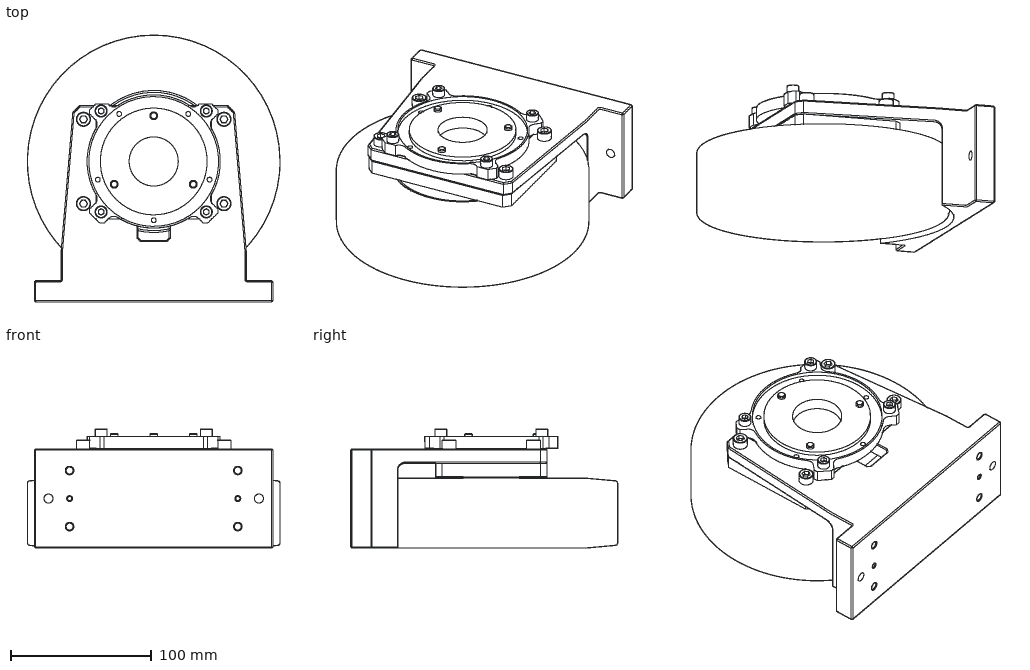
import cadquery as cq
import math


overall_length = 190.0

wheel_diameter = 180.0
wheel_radius = wheel_diameter / 2
wheel_height = 50.0
wheel_flat_radius = 66.7
wheel_side_slope = 2.0
rim_fillet = 1.9
wheel_clearance = 3.2
seal_groove_radius = 50.5
seal_groove_width = 1.3
seal_groove_depth = 1.9

bracket_height = 70.7
base_half_width = 85.0
base_back = wheel_radius - overall_length
base_thickness = 15.2
base_front = base_back + base_thickness
arm_root_half_width = 66.0
arm_taper_start = -64.6
arm_tip_half_width = 57.5
arm_tip = 39.7
arm_tip_bevel = 4.7
arm_thickness = 10.3
arm_bottom = bracket_height - arm_thickness
arm_root_fillet = 4.5
edge_bevel = 1.0
inner_corner_fillet = 1.0

window_half_width = 11.0
window_front = -arm_tip
window_back = -56.2
window_corner = 1.9
window_bevel = 0.8

spacer_half_width = 57.0
spacer_gap = 0.8
hub_diameter = 40.0

base_hole_center_z = 35.3
bolt_half_spacing_x = 59.8
bolt_half_spacing_z = 20.0
bolt_hole_diameter = 5.0
bolt_mouth_diameter = 6.0
bolt_hole_depth = 17.1
pin_hole_diameter = 3.0
pin_mouth_diameter = 4.2
pin_hole_depth = 9.5
dowel_half_spacing = 74.9
dowel_diameter = 6.5

pad_half_width = 41.0
pad_height = 0.4
flange_bottom = bracket_height + pad_height
flange_top = 79.6
flange_diameter = 94.8
flange_radius = flange_diameter / 2
lip_inner_radius = 46.2
recess_depth = 3.0
recess_floor = flange_top - recess_depth
disc_radius = 38.0
disc_top = flange_top
bore_diameter = 35.0
flange_hole_count = 5
flange_hole_circle_radius = 41.8
flange_hole_diameter = 3.5
flange_hole_depth = 4.7
flange_pin_count = 3
flange_pin_circle_radius = 32.5
flange_pin_diameter = 5.5
flange_pin_top = 81.7
flange_pin_bevel = 0.66

lug_tip_x = 45.6
lug_tip_y = 43.9
lug_corner_sum = 82.3
lug_outer_side = 11.8
lug_inner_side = -8.5
lug_fillet = 5.0
lug_trim_start = 28.5

flange_screw_x = 37.5
flange_screw_y = 36.0
flange_screw_top = 85.0
flange_screw_head = 8.5
flange_screw_socket = 4.5
arm_screw_x = 50.0
arm_screw_y = 30.0
arm_screw_top = 77.0
arm_screw_head = 10.0
arm_screw_socket = 5.7
socket_depth = 2.8
screw_bevel = 0.4

DRILL_HALF_ANGLE = math.radians(59)


def cylinder(radius, bottom, top):
    return cq.Workplane("XY").workplane(offset=bottom).circle(radius).extrude(top - bottom)


def box_between(x0, x1, y0, y1, z0, z1):
    center = ((x0 + x1) / 2, (y0 + y1) / 2, (z0 + z1) / 2)
    return cq.Workplane("XY").box(x1 - x0, y1 - y0, z1 - z0).translate(center)


def four_corners(x, y):
    return [(sx * x, sy * y) for sx in (-1, 1) for sy in (-1, 1)]


def make_wheel():
    rim_top = wheel_height - wheel_side_slope
    wheel = (
        cq.Workplane("XZ")
        .moveTo(0, 0)
        .lineTo(wheel_flat_radius, 0)
        .lineTo(wheel_radius, wheel_side_slope)
        .lineTo(wheel_radius, rim_top)
        .lineTo(wheel_flat_radius, wheel_height)
        .lineTo(0, wheel_height)
        .close()
        .revolve(360, (0, 0, 0), (0, 1, 0))
    )
    at_rim = cq.selectors.RadiusNthSelector(-1)
    wheel = wheel.edges("%CIRCLE").edges(at_rim).fillet(rim_fillet)
    groove = (
        cq.Workplane("XY")
        .workplane(offset=wheel_height - seal_groove_depth)
        .circle(seal_groove_radius)
        .circle(seal_groove_radius - seal_groove_width)
        .extrude(seal_groove_depth)
    )
    return wheel.cut(groove)


def make_bracket():
    right_side = [
        (base_half_width, base_back),
        (base_half_width, base_front),
        (arm_root_half_width, base_front),
        (arm_root_half_width, arm_taper_start),
        (arm_tip_half_width, arm_tip - arm_tip_bevel),
        (arm_tip_half_width - arm_tip_bevel, arm_tip),
    ]
    left_side = [(-x, y) for x, y in reversed(right_side)]
    bracket = cq.Workplane("XY").polyline(right_side + left_side).close().extrude(bracket_height)

    def upright_edges(x, y):
        near = 0.2
        picked = bracket.edges("|Z").filter(
            lambda e: abs(abs(e.Center().x) - x) < near and abs(e.Center().y - y) < near
        )
        return picked

    bracket = upright_edges(arm_root_half_width, base_front).fillet(inner_corner_fillet)
    bracket = upright_edges(base_half_width, base_front).chamfer(edge_bevel)
    bracket = upright_edges(base_half_width, base_back).chamfer(edge_bevel)
    bracket = bracket.faces("<Z or >Z").edges().chamfer(edge_bevel)

    wheel_space = cylinder(wheel_radius + wheel_clearance, -wheel_clearance, arm_bottom)
    wheel_space = wheel_space.faces(">Z").edges().fillet(arm_root_fillet)
    bracket = bracket.cut(wheel_space)

    arm_lower_edges = bracket.edges("%LINE").filter(
        lambda e: abs(e.BoundingBox().zmax - arm_bottom) < 0.02
        and abs(e.BoundingBox().zmin - arm_bottom) < 0.02
    )
    bracket = arm_lower_edges.chamfer(edge_bevel)

    window = box_between(
        -window_half_width, window_half_width, window_back, window_front, arm_bottom, bracket_height
    )
    window = window.edges("|Z and <Y").chamfer(window_corner)
    bracket = bracket.cut(window)
    window_mouth = bracket.faces(">Z").wires(cq.selectors.LengthNthSelector(0))
    return window_mouth.chamfer(window_bevel)


def make_spacer():
    spacer = box_between(
        -spacer_half_width, spacer_half_width, -arm_tip, arm_tip,
        wheel_height + spacer_gap, arm_bottom,
    )
    spacer = spacer.edges("|Z").chamfer(arm_tip_bevel)
    hub = cylinder(hub_diameter / 2, wheel_height, wheel_height + spacer_gap)
    return spacer.union(hub)


def drill(radius, mouth_radius, depth):
    """Drill shape along +Y from the mounting face, with a countersunk mouth and a conical tip."""
    mouth_depth = mouth_radius - radius
    tip_depth = radius / math.tan(DRILL_HALF_ANGLE)
    return (
        cq.Workplane("XY")
        .polyline([
            (0, 0),
            (mouth_radius, 0),
            (radius, mouth_depth),
            (radius, depth),
            (0, depth + tip_depth),
        ])
        .close()
        .revolve(360, (0, 0, 0), (0, 1, 0))
        .translate((0, base_back, base_hole_center_z))
    )


def make_base_holes():
    bolt_hole = drill(bolt_hole_diameter / 2, bolt_mouth_diameter / 2, bolt_hole_depth)
    pin_hole = drill(pin_hole_diameter / 2, pin_mouth_diameter / 2, pin_hole_depth)
    holes = cq.Workplane("XY")
    for x, z in four_corners(bolt_half_spacing_x, bolt_half_spacing_z):
        holes = holes.add(bolt_hole.translate((x, 0, z)))
    for side in (-1, 1):
        holes = holes.add(pin_hole.translate((side * bolt_half_spacing_x, 0, 0)))
        dowel_hole = (
            cq.Workplane("XZ", origin=(side * dowel_half_spacing, base_back, base_hole_center_z))
            .circle(dowel_diameter / 2)
            .extrude(-base_thickness)
        )
        holes = holes.add(dowel_hole)
    return holes.combine()


def make_lug(side, end):
    points = [
        (lug_outer_side, 0),
        (lug_tip_x, lug_tip_x - lug_outer_side),
        (lug_tip_x, lug_corner_sum - lug_tip_x),
        (lug_corner_sum - lug_tip_y, lug_tip_y),
        (lug_tip_y + lug_inner_side, lug_tip_y),
        (0, -lug_inner_side),
    ]
    outline = [(side * x, end * y) for x, y in points]
    return (
        cq.Workplane("XY")
        .workplane(offset=flange_bottom)
        .polyline(outline)
        .close()
        .extrude(flange_top - flange_bottom)
    )


def make_flange():
    flange = cylinder(flange_radius, flange_bottom, flange_top)
    for side, end in four_corners(1, 1):
        flange = flange.union(make_lug(side, end))
    inner_corners = flange.edges("|Z").filter(
        lambda e: abs(math.hypot(e.Center().x, e.Center().y) - flange_radius) < 0.02
    )
    flange = inner_corners.fillet(lug_fillet)

    lug_end = box_between(
        lug_trim_start, lug_tip_x, pad_half_width, lug_tip_y, flange_bottom, flange_top
    )
    flange = flange.cut(lug_end).cut(lug_end.mirror("YZ"))
    pad = box_between(
        -pad_half_width, pad_half_width, -pad_half_width, arm_tip - edge_bevel,
        bracket_height, flange_bottom,
    )
    flange = flange.union(pad)

    flange = flange.cut(cylinder(lip_inner_radius, recess_floor, flange_top))
    flange = flange.union(cylinder(disc_radius, recess_floor, disc_top))

    for i in range(flange_hole_count):
        angle = math.radians(-90 + 360 / flange_hole_count * i)
        x = flange_hole_circle_radius * math.cos(angle)
        y = flange_hole_circle_radius * math.sin(angle)
        hole = cylinder(flange_hole_diameter / 2, recess_floor - flange_hole_depth, recess_floor)
        flange = flange.cut(hole.translate((x, y, 0)))

    for i in range(flange_pin_count):
        angle = math.radians(90 + 360 / flange_pin_count * i)
        x = flange_pin_circle_radius * math.cos(angle)
        y = flange_pin_circle_radius * math.sin(angle)
        pin = cylinder(flange_pin_diameter / 2, disc_top, flange_pin_top)
        pin = pin.faces(">Z").edges().chamfer(flange_pin_bevel)
        flange = flange.union(pin.translate((x, y, 0)))
    return flange


def make_screw_head(head_diameter, socket_width, bottom, top, socket_turn):
    head = cylinder(head_diameter / 2, bottom, top).faces(">Z").edges().chamfer(screw_bevel)
    socket_bottom = top - socket_depth
    socket = (
        cq.Workplane("XY")
        .workplane(offset=socket_bottom)
        .polygon(6, socket_width)
        .extrude(socket_depth)
        .rotate((0, 0, 0), (0, 0, 1), socket_turn)
    )
    tip_radius = socket_width / 2 * math.cos(math.radians(30))
    tip_depth = tip_radius / math.tan(DRILL_HALF_ANGLE)
    tip = cq.Solid.makeCone(
        tip_radius, 0, tip_depth, pnt=cq.Vector(0, 0, socket_bottom), dir=cq.Vector(0, 0, -1)
    )
    return head.cut(socket).cut(cq.Workplane(tip))


def add_screws(body):
    flange_screw = make_screw_head(
        flange_screw_head, flange_screw_socket, flange_top, flange_screw_top, 90
    )
    arm_screw = make_screw_head(
        arm_screw_head, arm_screw_socket, bracket_height, arm_screw_top, 0
    )
    for x, y in four_corners(flange_screw_x, flange_screw_y):
        body = body.union(flange_screw.translate((x, y, 0)))
    for x, y in four_corners(arm_screw_x, arm_screw_y):
        body = body.union(arm_screw.translate((x, y, 0)))
    return body


body = make_bracket().cut(make_base_holes())
body = body.union(make_spacer()).union(make_wheel()).union(make_flange())
body = body.cut(cylinder(bore_diameter / 2, bracket_height, disc_top))
result = add_screws(body)